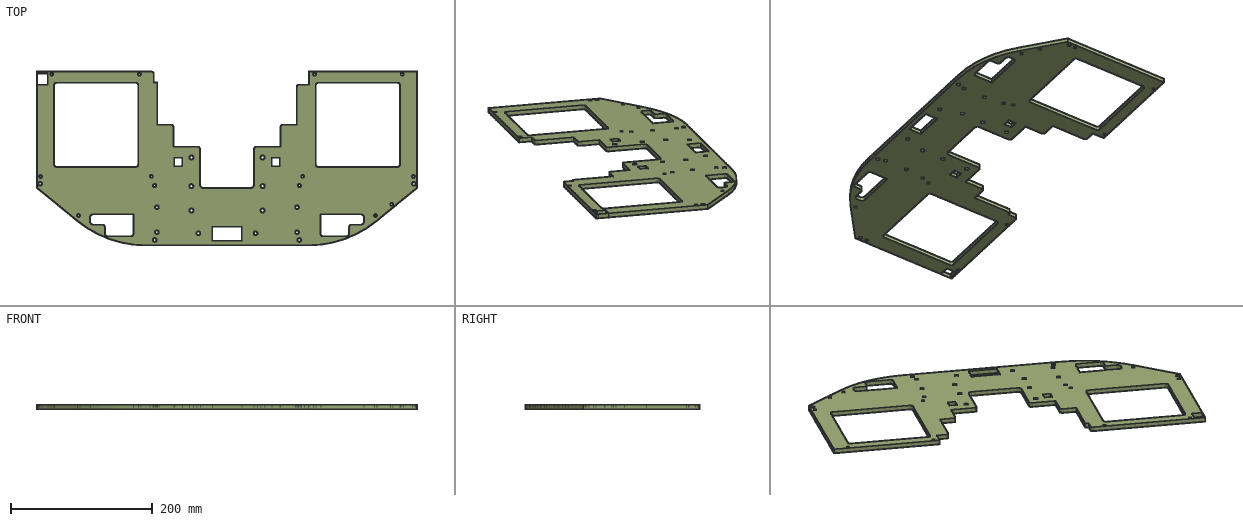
import cadquery as cq
import math

LENGTH = 535.94
WIDTH = 245.19
THICKNESS = 6.35
HALF_LENGTH = LENGTH / 2
TOP_Y = WIDTH / 2
BOTTOM_Y = -WIDTH / 2

SIDE_CORNER_Y = -41.4
BEND_X = 168.6
BEND_RADIUS = 152.4
CORNER_RADIUS = 3.5

LEFT_WING_X = 103.0
LEFT_WING_STEP_Y = 107.35
RIGHT_WING_X = 115.5
RIGHT_WING_STEP_Y = 104.2
UPPER_STEP_X = 98.2
UPPER_STEP_Y = 47.8
LOWER_STEP_X = 75.3
LOWER_STEP_Y = 16.8
NOTCH_X = 38.0
NOTCH_FLOOR_Y = -41.4
NOTCH_RADIUS = 4.8

WINDOW_SIZE = 118.4
WINDOW_X = 184.3
WINDOW_Y = 47.5

SMALL_OPENING_SIZE_X = 10.9
SMALL_OPENING_SIZE_Y = 11.6
SMALL_OPENING_X = 68.7
SMALL_OPENING_Y = -5.0

SLOT_LENGTH = 41.0
SLOT_WIDTH = 19.5
SLOT_Y = -106.1

L_INNER_X = 131.8
L_STEP_X = 171.9
L_OUTER_X = 193.0
L_TOP_Y = -78.6
L_STEP_Y = -93.2
L_BOTTOM_Y = -109.4
L_END_RADIUS = 5.0

CORNER_SIDE_WALL = 0.3
CORNER_TOP_WALL = 2.9
CORNER_INNER_X = -252.7
CORNER_BOTTOM_Y = RIGHT_WING_STEP_Y

MIRRORED_HOLES = {
    3.8: [(246.8, 118.8), (123.4, 118.8), (262.7, -25.3), (106.7, -25.2), (209.2, -80.3)],
    4.3: [(102.0, -38.2)],
    4.92: [(263.3, -35.6), (98.7, -68.5), (98.7, -103.7)],
    5.05: [(101.9, -114.8), (40.4, -105.3)],
    5.5: [(50.2, 1.5), (50.2, -39.0), (50.2, -73.3)],
}
SINGLE_HOLE_DIAMETER = 3.8
SINGLE_HOLE = (232.0, -64.6)


def rounded_prism(corners):
    """Extrude a closed outline given as (x, y, corner radius) through the plate thickness."""
    path = cq.Workplane("XY")
    count = len(corners)
    for i, (x, y, radius) in enumerate(corners):
        corner = cq.Vector(x, y)
        to_previous = (cq.Vector(*corners[i - 1][:2]) - corner).normalized()
        to_next = (cq.Vector(*corners[(i + 1) % count][:2]) - corner).normalized()
        half_angle = to_previous.getAngle(to_next) / 2
        setback = radius / math.tan(half_angle)
        start = corner + to_previous * setback
        path = path.moveTo(start.x, start.y) if i == 0 else path.lineTo(start.x, start.y)
        if radius > 0:
            bisector = (to_previous + to_next).normalized()
            middle = corner + bisector * (radius / math.sin(half_angle) - radius)
            end = corner + to_next * setback
            path = path.threePointArc((middle.x, middle.y), (end.x, end.y))
    return path.close().extrude(THICKNESS)


def rectangle(center_x, center_y, size_x, size_y, radius=0):
    """Rectangular prism with rounded corners."""
    left = center_x - size_x / 2
    right = center_x + size_x / 2
    bottom = center_y - size_y / 2
    top = center_y + size_y / 2
    return rounded_prism([
        (left, bottom, radius),
        (right, bottom, radius),
        (right, top, radius),
        (left, top, radius),
    ])


def plate():
    """Plate with two wings, stepped inner sides and a curved lower edge."""
    left_wing = [
        (-HALF_LENGTH, TOP_Y, 0),
        (-LEFT_WING_X, TOP_Y, CORNER_RADIUS),
        (-LEFT_WING_X, LEFT_WING_STEP_Y, 0),
        (-UPPER_STEP_X, LEFT_WING_STEP_Y, 0),
    ]
    notch = [
        (-UPPER_STEP_X, UPPER_STEP_Y, 0),
        (-LOWER_STEP_X, UPPER_STEP_Y, CORNER_RADIUS),
        (-LOWER_STEP_X, LOWER_STEP_Y, 0),
        (-NOTCH_X, LOWER_STEP_Y, CORNER_RADIUS),
        (-NOTCH_X, NOTCH_FLOOR_Y, NOTCH_RADIUS),
        (NOTCH_X, NOTCH_FLOOR_Y, NOTCH_RADIUS),
        (NOTCH_X, LOWER_STEP_Y, CORNER_RADIUS),
        (LOWER_STEP_X, LOWER_STEP_Y, 0),
        (LOWER_STEP_X, UPPER_STEP_Y, CORNER_RADIUS),
        (UPPER_STEP_X, UPPER_STEP_Y, 0),
    ]
    right_wing = [
        (UPPER_STEP_X, RIGHT_WING_STEP_Y, CORNER_RADIUS),
        (RIGHT_WING_X, RIGHT_WING_STEP_Y, 0),
        (RIGHT_WING_X, TOP_Y, 0),
        (HALF_LENGTH, TOP_Y, 0),
    ]
    lower_edge = [
        (HALF_LENGTH, SIDE_CORNER_Y, 0),
        (BEND_X, BOTTOM_Y, BEND_RADIUS),
        (-BEND_X, BOTTOM_Y, BEND_RADIUS),
        (-HALF_LENGTH, SIDE_CORNER_Y, 0),
    ]
    return rounded_prism(left_wing + notch + right_wing + lower_edge)


def window(side):
    """Large wing window; side is -1 for left and 1 for right."""
    return rectangle(side * WINDOW_X, WINDOW_Y, WINDOW_SIZE, WINDOW_SIZE, CORNER_RADIUS)


def small_opening(side):
    """Small opening beside the notch; side is -1 for left and 1 for right."""
    return rectangle(side * SMALL_OPENING_X, SMALL_OPENING_Y, SMALL_OPENING_SIZE_X, SMALL_OPENING_SIZE_Y)


def l_opening(side):
    """L-shaped opening; side is -1 for left and 1 for right."""
    return rounded_prism([
        (side * L_INNER_X, L_TOP_Y, 0),
        (side * L_OUTER_X, L_TOP_Y, L_END_RADIUS),
        (side * L_OUTER_X, L_STEP_Y, L_END_RADIUS),
        (side * L_STEP_X, L_STEP_Y, CORNER_RADIUS),
        (side * L_STEP_X, L_BOTTOM_Y, CORNER_RADIUS),
        (side * L_INNER_X, L_BOTTOM_Y, CORNER_RADIUS),
    ])


def corner_opening():
    """Opening in the upper left corner of the left wing."""
    left = -HALF_LENGTH + CORNER_SIDE_WALL
    top = TOP_Y - CORNER_TOP_WALL
    size_x = CORNER_INNER_X - left
    size_y = top - CORNER_BOTTOM_Y
    return rectangle(left + size_x / 2, CORNER_BOTTOM_Y + size_y / 2, size_x, size_y)


def round_holes(diameter, centers):
    """Through holes of one diameter."""
    return cq.Workplane("XY").pushPoints(centers).circle(diameter / 2).extrude(THICKNESS)


result = plate()
for side in (-1, 1):
    result = result.cut(window(side))
    result = result.cut(small_opening(side))
    result = result.cut(l_opening(side))
    for diameter, centers in MIRRORED_HOLES.items():
        result = result.cut(round_holes(diameter, [(side * x, y) for x, y in centers]))
result = result.cut(rectangle(0, SLOT_Y, SLOT_LENGTH, SLOT_WIDTH))
result = result.cut(corner_opening())
result = result.cut(round_holes(SINGLE_HOLE_DIAMETER, [SINGLE_HOLE]))